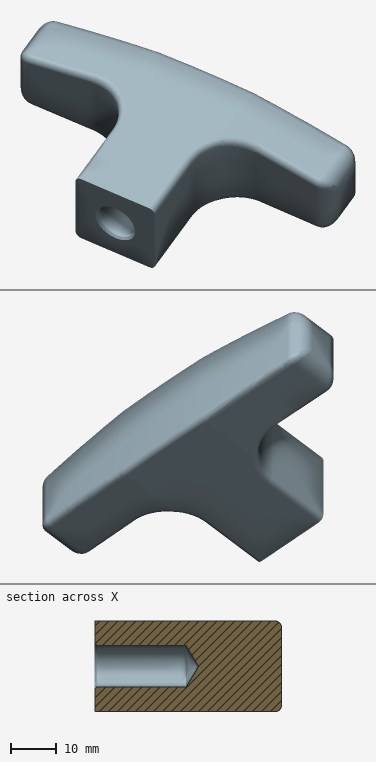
import cadquery as cq
import math

handle_span = 80.0
stem_width = 20.0
overall_depth = 41.0
hub_half_width = 12.0
thickness_taper = 5.0
underside_taper = 4.0
throat_start = 16.6
throat_radius = 10.4
back_radius = 370.0
tip_radius = 4.0
edge_radius = 1.5
bore_diameter = 9.0
bore_depth = 20.0
bore_point_angle = 118.0
mouth_diameter = 10.0

half_span = handle_span / 2
half_stem = stem_width / 2
tip_half_thickness = half_stem - (half_span - hub_half_width) * math.tan(math.radians(thickness_taper))
tip_back_y = overall_depth - (back_radius - math.sqrt(back_radius**2 - half_span**2))
bore_radius = bore_diameter / 2
mouth_radius = mouth_diameter / 2
mouth_chamfer = mouth_radius - bore_radius
bore_point_length = bore_radius / math.tan(math.radians(bore_point_angle / 2))


def throat_point(angle):
    """Point on the +X throat arc, at degrees turned from where it leaves the stem."""
    turn = math.radians(angle)
    x = half_stem + throat_radius * (1 - math.cos(turn))
    y = throat_start + throat_radius * math.sin(turn)
    return x, y


def mirror_x(point):
    return -point[0], point[1]


def t_plan():
    """T-shaped plan of the handle, extruded through the full thickness."""
    throat_turn = 90 + underside_taper
    throat_mid = throat_point(throat_turn / 2)
    throat_end = throat_point(throat_turn)
    underside_drop = (half_span - throat_end[0]) * math.tan(math.radians(underside_taper))
    tip_front_y = throat_end[1] - underside_drop
    return (
        cq.Workplane("XY")
        .moveTo(-half_stem, 0)
        .lineTo(half_stem, 0)
        .lineTo(half_stem, throat_start)
        .threePointArc(throat_mid, throat_end)
        .lineTo(half_span, tip_front_y)
        .lineTo(half_span, tip_back_y)
        .threePointArc((0, overall_depth), (-half_span, tip_back_y))
        .lineTo(-half_span, tip_front_y)
        .lineTo(*mirror_x(throat_end))
        .threePointArc(mirror_x(throat_mid), (-half_stem, throat_start))
        .close()
        .extrude(half_stem, both=True)
    )


def thickness_envelope():
    """Flat hub with arms thinning towards the tips, extruded along Y."""
    upper = [
        (half_span, tip_half_thickness),
        (hub_half_width, half_stem),
        (-hub_half_width, half_stem),
        (-half_span, tip_half_thickness),
    ]
    lower = [(x, -z) for x, z in reversed(upper)]
    return cq.Workplane("XZ").polyline(upper + lower).close().extrude(-overall_depth)


def round_long_edges(body):
    """Round the rims of the +Z and -Z sides; the stem edges follow from the tangent throat arcs."""
    return body.edges("not(|X or |Y or |Z)").fillet(edge_radius)


def bore():
    """Blind drilled hole along Y from the stem face, with a chamfered mouth."""
    return (
        cq.Workplane("XY")
        .lineTo(mouth_radius, 0)
        .lineTo(bore_radius, mouth_chamfer)
        .lineTo(bore_radius, bore_depth)
        .lineTo(0, bore_depth + bore_point_length)
        .close()
        .revolve(360, (0, 0, 0), (0, 1, 0))
    )


blank = t_plan().intersect(thickness_envelope())
tips_rounded = blank.faces("<X or >X").edges().fillet(tip_radius)
result = round_long_edges(tips_rounded).cut(bore())